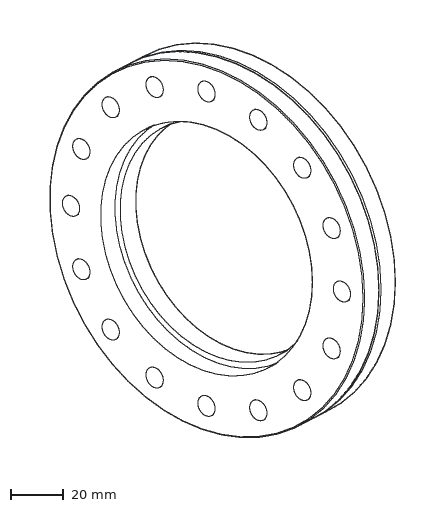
import cadquery as cq

outer_diameter = 151.6
thickness = 19.9
rim_chamfer = 0.5

bore_diameter = 96.9
socket_diameter = 101.9
socket_depth = 8.8

recess_diameter = 120.7
recess_depth = 1.4

groove_width = 1.2
groove_depth = 0.5

bolt_count = 16
bolt_hole_diameter = 8.3
bolt_circle_diameter = 130.4

front_y = -thickness / 2
back_y = thickness / 2


def cylinder(diameter, start_y, length):
    """Solid cylinder about the Y axis, reaching from start_y toward +Y."""
    plane = cq.Workplane("XZ", origin=(0, start_y, 0))
    return plane.circle(diameter / 2).extrude(-length)


def make_body():
    disc = cylinder(outer_diameter, front_y, thickness)
    return disc.edges("%CIRCLE").chamfer(rim_chamfer)


def make_rim_groove():
    rim_radius = outer_diameter / 2
    half_width = groove_width / 2
    section = (
        cq.Workplane("XY")
        .moveTo(rim_radius, -half_width)
        .threePointArc((rim_radius - groove_depth, 0), (rim_radius, half_width))
        .close()
    )
    return section.revolve(360, (0, 0, 0), (0, 1, 0))


def make_bolt_holes():
    return (
        cq.Workplane("XZ", origin=(0, front_y, 0))
        .polarArray(bolt_circle_diameter / 2, 0, 360, bolt_count)
        .circle(bolt_hole_diameter / 2)
        .extrude(-thickness)
    )


result = (
    make_body()
    .cut(cylinder(bore_diameter, front_y, thickness))
    .cut(cylinder(socket_diameter, front_y, socket_depth))
    .cut(cylinder(recess_diameter, back_y - recess_depth, recess_depth))
    .cut(make_rim_groove())
    .cut(make_bolt_holes())
)